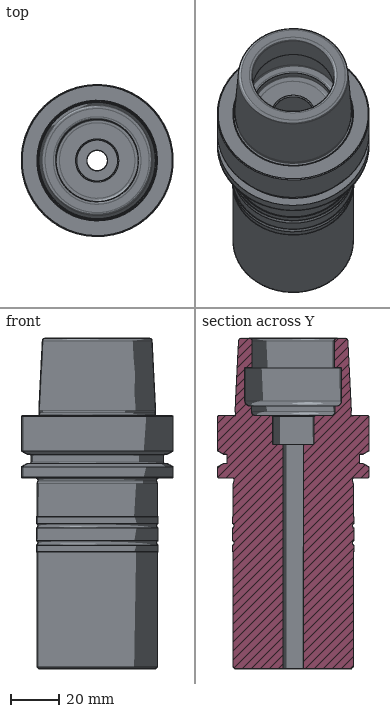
import cadquery as cq
import math

TAPER_LENGTH = 32.0
SHANK_LENGTH = 105.0

TAPER_GAUGE_DIAMETER = 48.01
TAPER_GAUGE_HEIGHT = 6.3
TAPER_RATIO = 1 / 9.98
TAPER_BASE_HEIGHT = 2.0
TAPER_RIM_RADIUS = 1.2

RELIEF_DIAMETER = 48.14
RELIEF_TOP_HEIGHT = 1.2
RELIEF_FLOOR_DIAMETER = 49.3
RELIEF_MOUTH_DIAMETER = 50.0
RELIEF_DEPTH = 0.15

FLANGE_DIAMETER = 63.0
FLANGE_THICKNESS = 26.0
FLANGE_CHAMFER = 0.4
GRIPPER_CENTER = -18.0
GRIPPER_MOUTH_WIDTH = 6.6
GRIPPER_CONE_DEPTH = 2.5
GRIPPER_CONE_ANGLE = 30.0
GRIPPER_ROOT_DIAMETER = 55.0
GRIPPER_ROOT_FILLET = 0.5

SHANK_DIAMETER = 50.0
SHANK_END_CHAMFER = 0.8
NECK_DIAMETER = 49.3
NECK_FILLET = 0.7
NECK_LAND = 0.4
NECK_CONE_LENGTH = 1.2

BAND_DIAMETER = 50.5
BAND_TOP = -41.8
BAND_BOTTOM = -56.65
BAND_CHAMFER = (BAND_DIAMETER - SHANK_DIAMETER) / 2
RING_CENTERS = (-45.7, -52.8)
RING_WIDTH = 2.0
RING_FLOOR_DIAMETER = 49.3
RING_CHAMFER = 0.3

MOUTH_DIAMETER = 34.0
MOUTH_LENGTH = 12.3
MOUTH_RIM_RADIUS = 1.15
CHAMBER_DIAMETER = 40.0
CHAMBER_DEPTH = 28.0
CHAMBER_FILLET = 2.0
WELL_DIAMETER = 34.5
WELL_DEPTH = 32.0
WELL_FILLET = 1.6
COOLANT_PORT_DIAMETER = 16.92
COOLANT_PORT_CHAMFER = 0.5
COOLANT_PORT_DEPTH = 12.0
PASSAGE_DIAMETER = 8.4


def taper_radius(height):
    diameter = TAPER_GAUGE_DIAMETER - (height - TAPER_GAUGE_HEIGHT) * TAPER_RATIO
    return diameter / 2


def quarter_arc(profile, center, radius, start_angle, end_angle):
    """Run a line to start_angle on a circle, then an arc to end_angle (degrees)."""
    points = []
    for angle in (start_angle, (start_angle + end_angle) / 2, end_angle):
        turn = math.radians(angle)
        points.append((center[0] + radius * math.cos(turn), center[1] + radius * math.sin(turn)))
    return profile.lineTo(*points[0]).threePointArc(points[1], points[2])


def revolve(profile):
    return profile.close().revolve(360, (0, 0, 0), (0, 1, 0))


def make_taper():
    relief_radius = RELIEF_DIAMETER / 2
    fillet = (RELIEF_FLOOR_DIAMETER - RELIEF_DIAMETER) / 2
    profile = cq.Workplane("XZ").moveTo(0, -FLANGE_THICKNESS / 2)
    profile = profile.lineTo(RELIEF_FLOOR_DIAMETER / 2, -FLANGE_THICKNESS / 2)
    fillet_center = (relief_radius + fillet, -RELIEF_DEPTH + fillet)
    profile = quarter_arc(profile, fillet_center, fillet, 270, 180)
    profile = profile.lineTo(relief_radius, RELIEF_TOP_HEIGHT)
    profile = profile.lineTo(taper_radius(TAPER_BASE_HEIGHT), TAPER_BASE_HEIGHT)
    profile = profile.lineTo(taper_radius(TAPER_LENGTH), TAPER_LENGTH).lineTo(0, TAPER_LENGTH)
    return revolve(profile).faces(">Z").edges().fillet(TAPER_RIM_RADIUS)


def make_flange():
    flange = cq.Workplane("XY").circle(FLANGE_DIAMETER / 2).extrude(-FLANGE_THICKNESS)
    flange = flange.edges().chamfer(FLANGE_CHAMFER)
    relief = (
        cq.Workplane("XZ")
        .moveTo(0, 0)
        .lineTo(RELIEF_MOUTH_DIAMETER / 2, 0)
        .lineTo(RELIEF_FLOOR_DIAMETER / 2, -RELIEF_DEPTH)
        .lineTo(0, -RELIEF_DEPTH)
    )
    return flange.cut(revolve(relief)).cut(make_gripper_groove())


def make_gripper_groove():
    outer = FLANGE_DIAMETER / 2
    cone_end = outer - GRIPPER_CONE_DEPTH
    root = GRIPPER_ROOT_DIAMETER / 2
    mouth_half = GRIPPER_MOUTH_WIDTH / 2
    root_half = mouth_half - GRIPPER_CONE_DEPTH * math.tan(math.radians(GRIPPER_CONE_ANGLE))
    fillet_x = root + GRIPPER_ROOT_FILLET
    fillet_z = root_half - GRIPPER_ROOT_FILLET
    profile = cq.Workplane("XZ").moveTo(outer, GRIPPER_CENTER + mouth_half)
    profile = profile.lineTo(cone_end, GRIPPER_CENTER + root_half)
    profile = quarter_arc(profile, (fillet_x, GRIPPER_CENTER + fillet_z), GRIPPER_ROOT_FILLET, 90, 180)
    profile = quarter_arc(profile, (fillet_x, GRIPPER_CENTER - fillet_z), GRIPPER_ROOT_FILLET, 180, 270)
    profile = profile.lineTo(cone_end, GRIPPER_CENTER - root_half)
    return revolve(profile.lineTo(outer, GRIPPER_CENTER - mouth_half))


def make_shank():
    radius = SHANK_DIAMETER / 2
    neck = NECK_DIAMETER / 2
    fillet_bottom = -FLANGE_THICKNESS - NECK_FILLET
    cone_top = fillet_bottom - NECK_LAND
    profile = cq.Workplane("XZ").moveTo(0, -FLANGE_THICKNESS)
    profile = quarter_arc(profile, (neck + NECK_FILLET, fillet_bottom), NECK_FILLET, 90, 180)
    profile = profile.lineTo(neck, cone_top).lineTo(radius, cone_top - NECK_CONE_LENGTH)
    profile = profile.lineTo(radius, -SHANK_LENGTH).lineTo(0, -SHANK_LENGTH)
    return revolve(profile).faces("<Z").edges().chamfer(SHANK_END_CHAMFER)


def make_band():
    band = cq.Workplane("XY", origin=(0, 0, BAND_TOP)).circle(BAND_DIAMETER / 2)
    return band.extrude(BAND_BOTTOM - BAND_TOP).edges().chamfer(BAND_CHAMFER)


def make_ring_groove(center):
    outer = BAND_DIAMETER / 2
    arc_end = outer - RING_CHAMFER
    half = RING_WIDTH / 2
    arc_half = half - RING_CHAMFER
    profile = (
        cq.Workplane("XZ")
        .moveTo(outer, center + half)
        .lineTo(arc_end, center + arc_half)
        .threePointArc((RING_FLOOR_DIAMETER / 2, center), (arc_end, center - arc_half))
        .lineTo(outer, center - half)
    )
    return revolve(profile)


def make_hollow():
    mouth = MOUTH_DIAMETER / 2
    chamber = CHAMBER_DIAMETER / 2
    well = WELL_DIAMETER / 2
    port = COOLANT_PORT_DIAMETER / 2
    passage = PASSAGE_DIAMETER / 2
    mouth_end = TAPER_LENGTH - MOUTH_LENGTH
    chamber_floor = TAPER_LENGTH - CHAMBER_DEPTH
    well_floor = TAPER_LENGTH - WELL_DEPTH
    port_floor = well_floor - COOLANT_PORT_DEPTH
    rim_center = (mouth + MOUTH_RIM_RADIUS, TAPER_LENGTH - MOUTH_RIM_RADIUS)
    chamber_center = (chamber - CHAMBER_FILLET, chamber_floor + CHAMBER_FILLET)
    well_center = (well - WELL_FILLET, well_floor + WELL_FILLET)

    profile = cq.Workplane("XZ").moveTo(0, TAPER_LENGTH)
    profile = quarter_arc(profile, rim_center, MOUTH_RIM_RADIUS, 90, 180)
    profile = profile.lineTo(mouth, mouth_end).lineTo(chamber, mouth_end)
    profile = quarter_arc(profile, chamber_center, CHAMBER_FILLET, 0, -90)
    profile = profile.lineTo(well, chamber_floor)
    profile = quarter_arc(profile, well_center, WELL_FILLET, 0, -90)
    profile = profile.lineTo(port + COOLANT_PORT_CHAMFER, well_floor)
    profile = profile.lineTo(port, well_floor - COOLANT_PORT_CHAMFER)
    profile = profile.lineTo(port, port_floor).lineTo(passage, port_floor)
    profile = profile.lineTo(passage, -SHANK_LENGTH).lineTo(0, -SHANK_LENGTH)
    return revolve(profile)


holder = make_flange().union(make_taper()).union(make_shank()).union(make_band())
for ring_center in RING_CENTERS:
    holder = holder.cut(make_ring_groove(ring_center))
result = holder.cut(make_hollow())